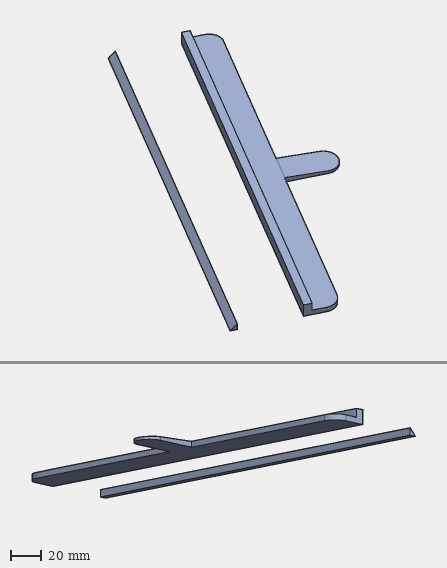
import cadquery as cq
import math

length = 280.0

plate_depth = 26.0
plate_thickness = 4.0
plate_corner_radius = 10.0

wall_depth = 6.0
wall_height = 10.0

handle_width = 20.0
handle_length = 40.0
handle_slope_degrees = 3.0
handle_tip_thickness = plate_thickness - handle_length * math.tan(math.radians(handle_slope_degrees))
handle_tip_radius = handle_width / 2

strip_gap = 45.22
strip_leg = 5.0


def make_plate():
    """Flat plate with its two rear corners rounded."""
    plate = cq.Workplane("XY").box(length, plate_depth, plate_thickness, centered=(True, False, False))
    return plate.edges("|Z and >Y").fillet(plate_corner_radius)


def make_wall():
    """Upright wall along the whole front edge of the plate."""
    return cq.Workplane("XY").box(length, wall_depth, wall_height, centered=(True, False, False))


def make_handle():
    """Tongue behind the plate, thinning towards its round tip."""
    plate_rear = plate_depth
    tip = plate_rear + handle_length
    handle = (
        cq.Workplane("YZ")
        .moveTo(plate_rear, 0)
        .lineTo(tip, 0)
        .lineTo(tip, handle_tip_thickness)
        .lineTo(plate_rear, plate_thickness)
        .close()
        .extrude(handle_width / 2, both=True)
    )
    outline = (
        cq.Workplane("XY")
        .moveTo(-handle_width / 2, plate_rear)
        .lineTo(-handle_width / 2, tip - handle_tip_radius)
        .threePointArc((0, tip), (handle_width / 2, tip - handle_tip_radius))
        .lineTo(handle_width / 2, plate_rear)
        .close()
        .extrude(plate_thickness)
    )
    return handle.intersect(outline)


def make_blade_holder():
    """Plate, wall and handle as one solid."""
    return make_plate().union(make_wall()).union(make_handle())


def make_strip():
    """Right-angled strip in front of the wall, upright at the rear and sloping down to the front."""
    strip_rear = -strip_gap
    return (
        cq.Workplane("YZ")
        .moveTo(strip_rear, 0)
        .lineTo(strip_rear, strip_leg)
        .lineTo(strip_rear - strip_leg, 0)
        .close()
        .extrude(length / 2, both=True)
    )


blade_holder = make_blade_holder()
strip = make_strip()

result = cq.Compound.makeCompound([blade_holder.val(), strip.val()])